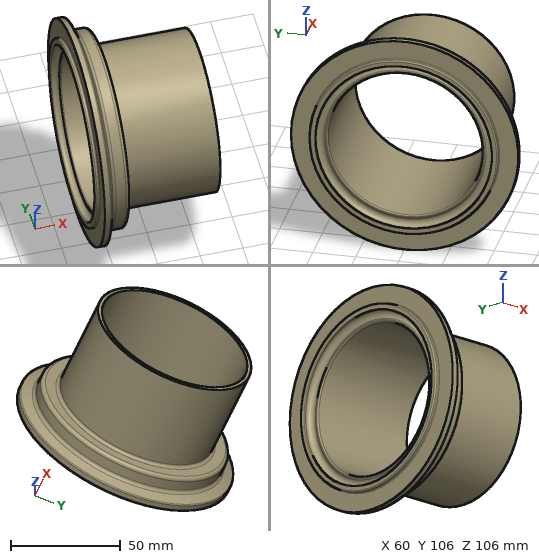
import cadquery as cq
import math

total_length = 60.0
tube_radius = 76.1 / 2
bore_radius = 72.1 / 2

face_radius = 88.1 / 2
face_height = 2.0
face_edge_round = 0.6
face_root_round = 0.3

flange_radius = 106 / 2
flange_slope = math.radians(20)
flange_rim_end = 5.3
flange_edge_round = 0.6
flange_root_round = 1.8
hub_radius = 93.0 / 2
slope_end = flange_rim_end + (flange_radius - hub_radius) * math.tan(flange_slope)

hub_end = 15.5
hub_edge_round = 1.8
hub_root_round = 1.5

groove_center_radius = 39.3
groove_section_radius = 2.3
groove_center_depth = 1.9
groove_mouth_round = 0.3
lip_setback = 3.3
lip_outer_round = 0.8
bore_edge_round = 0.6


def groove_blend(face_x, blend_radius, side):
    """Start, middle and end of a convex arc tangent to the plane at face_x and to the groove section.

    side is +1 for the outer wall of the groove and -1 for the inner wall.
    """
    center_distance = groove_section_radius + blend_radius
    center_x = face_x + blend_radius
    offset_x = center_x - groove_center_depth
    offset_radius = side * math.sqrt(center_distance**2 - offset_x**2)
    center_radius = groove_center_radius + offset_radius

    face_angle = math.pi
    groove_angle = math.atan2(-offset_radius, -offset_x) % (2 * math.pi)
    angles = [face_angle, (face_angle + groove_angle) / 2, groove_angle]
    return [
        (center_x + blend_radius * math.cos(angle), center_radius + blend_radius * math.sin(angle))
        for angle in angles
    ]


def round_ring(body, x, radius, fillet_radius):
    """Fillet the circular edge at axial place x with the given ring radius."""
    tolerance = 0.02

    def is_ring(edge):
        box = edge.BoundingBox()
        at_x = abs(box.xmin - x) < tolerance and abs(box.xmax - x) < tolerance
        return at_x and abs(box.zmax - radius) < tolerance

    rings = [edge for edge in body.edges().vals() if is_ring(edge)]
    return body.newObject(rings).fillet(fillet_radius)


lip_start, lip_middle, lip_end = groove_blend(lip_setback, lip_outer_round, -1)
mouth_start, mouth_middle, mouth_end = groove_blend(0, groove_mouth_round, 1)
groove_bottom = (groove_center_depth + groove_section_radius, groove_center_radius)

half_section = (
    cq.Workplane("XY")
    .moveTo(total_length, bore_radius)
    .lineTo(lip_setback, bore_radius)
    .lineTo(*lip_start)
    .threePointArc(lip_middle, lip_end)
    .threePointArc(groove_bottom, mouth_end)
    .threePointArc(mouth_middle, mouth_start)
    .lineTo(0, face_radius)
    .lineTo(face_height, face_radius)
    .lineTo(face_height, flange_radius)
    .lineTo(flange_rim_end, flange_radius)
    .lineTo(slope_end, hub_radius)
    .lineTo(hub_end, hub_radius)
    .lineTo(hub_end, tube_radius)
    .lineTo(total_length, tube_radius)
    .close()
)
ferrule = half_section.revolve(360, (0, 0, 0), (1, 0, 0))

rounded_rings = [
    (lip_setback, bore_radius, bore_edge_round),
    (0, face_radius, face_edge_round),
    (face_height, face_radius, face_root_round),
    (flange_rim_end, flange_radius, flange_edge_round),
    (slope_end, hub_radius, flange_root_round),
    (hub_end, hub_radius, hub_edge_round),
    (hub_end, tube_radius, hub_root_round),
]
for place, ring_radius, fillet_radius in rounded_rings:
    ferrule = round_ring(ferrule, place, ring_radius, fillet_radius)

result = ferrule